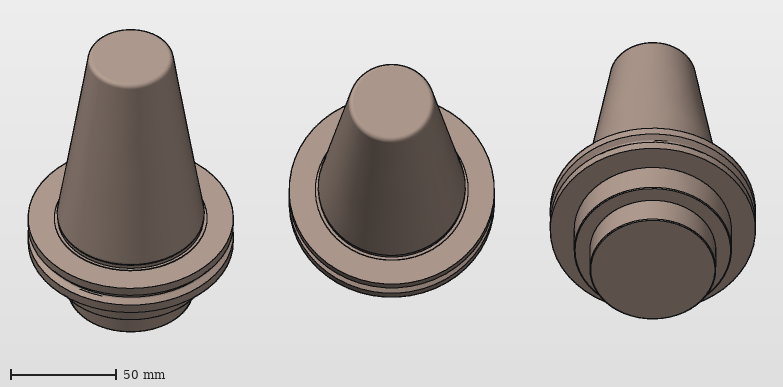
import cadquery as cq

total_height = 151.8
gauge_height = 50.1
flange_top = 46.7
flange_bottom = 31.0
collar_bottom = 15.0

flange_radius = 48.7
collar_radius = 37.3
nose_radius = 29.9
gauge_radius = 34.9
edge_chamfer = 0.5

taper_ratio = 7 / 24
tip_radius = gauge_radius - (total_height - gauge_height) * taper_ratio / 2
tip_rounding = 2.3

relief_radius = 34.6
land_height = 0.9
relief_slope_height = 0.8
relief_top = gauge_height - land_height - relief_slope_height

undercut_radius = 36.3
undercut_depth = 0.3

groove_radius = 45.5
groove_center = 39.0
groove_floor_half = 1.5
groove_mouth_half = 3.2
groove_corner_rounding = 0.9


def cylinder(radius, bottom, top):
    return cq.Workplane("XY").workplane(offset=bottom).circle(radius).extrude(top - bottom)


def revolve_profile(points):
    """Revolve a closed (radius, height) outline about the Z axis."""
    return cq.Workplane("XZ").polyline(points).close().revolve(360, (0, 0), (0, 1))


def make_taper():
    taper = revolve_profile([
        (0, flange_bottom),
        (relief_radius, flange_bottom),
        (relief_radius, relief_top),
        (gauge_radius, gauge_height - land_height),
        (gauge_radius, gauge_height),
        (tip_radius, total_height),
        (0, total_height),
    ])
    return taper.faces(">Z").edges().fillet(tip_rounding)


def make_flange():
    flange = revolve_profile([
        (0, flange_bottom),
        (flange_radius, flange_bottom),
        (flange_radius, groove_center - groove_mouth_half),
        (groove_radius, groove_center - groove_floor_half),
        (groove_radius, groove_center + groove_floor_half),
        (flange_radius, groove_center + groove_mouth_half),
        (flange_radius, flange_top),
        (undercut_radius, flange_top),
        (undercut_radius, flange_top - undercut_depth),
        (0, flange_top - undercut_depth),
    ])
    groove_band = cq.selectors.BoxSelector(
        (-flange_radius, -flange_radius, groove_center - groove_floor_half - groove_corner_rounding),
        (flange_radius, flange_radius, groove_center + groove_floor_half + groove_corner_rounding),
    )
    return flange.edges(groove_band).edges("%CIRCLE").fillet(groove_corner_rounding)


def make_step(radius, bottom, top):
    """Cylindrical step with a chamfered lower edge."""
    return cylinder(radius, bottom, top).faces("<Z").edges().chamfer(edge_chamfer)


collar = make_step(collar_radius, collar_bottom, flange_bottom)
nose = make_step(nose_radius, 0, collar_bottom)
result = make_taper().union(make_flange()).union(collar).union(nose)